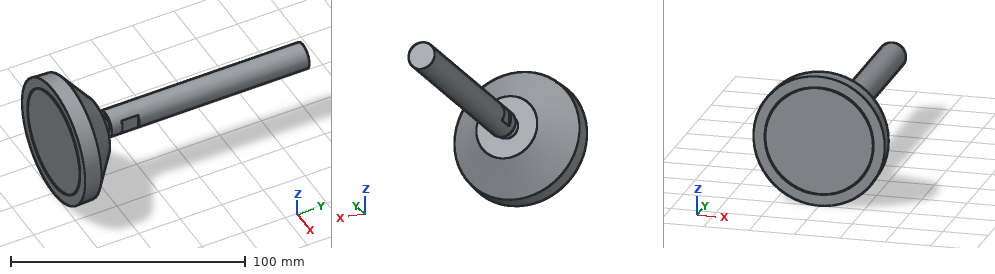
import cadquery as cq

TOTAL_LENGTH = 120.0

FOOT_DIAMETER = 58.0
FOOT_SHOULDER_DIAMETER = 57.2
FOOT_TOP_DIAMETER = 27.8
RIM_HEIGHT = 8.0
FOOT_HEIGHT = 19.9
GROOVE_OUTER_DIAMETER = 48.0
GROOVE_INNER_DIAMETER = 47.5
GROOVE_DEPTH = 0.2

SHANK_DIAMETER = 12.0
SHANK_START = 25.0
NECK_DIAMETER = 7.8
BALL_DIAMETER = 12.0
BALL_CENTRE = 16.8

FLATS_WIDTH = 9.8
FLATS_LENGTH = 8.0
FLATS_START = SHANK_START + 5.2


def revolve_about_y(points):
    """Turn a closed (radius, height) outline into a solid around the Y axis."""
    return cq.Workplane("XY").polyline(points).close().revolve(360, (0, 0), (0, 1))


def make_ball():
    """Ball at the spindle's lower end, also the shape of its socket in the foot."""
    return cq.Workplane("XY").sphere(BALL_DIAMETER / 2).translate((0, BALL_CENTRE, 0))


def make_foot():
    """Tapered rim and cone, with a ball socket and a fine ring groove in the underside."""
    foot = revolve_about_y([
        (0, 0),
        (FOOT_DIAMETER / 2, 0),
        (FOOT_SHOULDER_DIAMETER / 2, RIM_HEIGHT),
        (FOOT_TOP_DIAMETER / 2, FOOT_HEIGHT),
        (0, FOOT_HEIGHT),
    ])
    groove = revolve_about_y([
        (GROOVE_INNER_DIAMETER / 2, 0),
        (GROOVE_OUTER_DIAMETER / 2, 0),
        (GROOVE_OUTER_DIAMETER / 2, GROOVE_DEPTH),
        (GROOVE_INNER_DIAMETER / 2, GROOVE_DEPTH),
    ])
    return foot.cut(groove).cut(make_ball())


def make_spindle():
    """Shank with two wrench flats, on a neck that ends in a ball."""
    spindle = revolve_about_y([
        (0, BALL_CENTRE),
        (NECK_DIAMETER / 2, BALL_CENTRE),
        (NECK_DIAMETER / 2, SHANK_START),
        (SHANK_DIAMETER / 2, SHANK_START),
        (SHANK_DIAMETER / 2, TOTAL_LENGTH),
        (0, TOTAL_LENGTH),
    ])
    cut_depth = (SHANK_DIAMETER - FLATS_WIDTH) / 2
    for side in (-1, 1):
        flat_cut = cq.Workplane("XY").box(cut_depth, FLATS_LENGTH, SHANK_DIAMETER).translate(
            (side * (FLATS_WIDTH + cut_depth) / 2, FLATS_START + FLATS_LENGTH / 2, 0)
        )
        spindle = spindle.cut(flat_cut)
    return spindle.union(make_ball())


foot = make_foot()
spindle = make_spindle()

result = cq.Compound.makeCompound([foot.val(), spindle.val()])